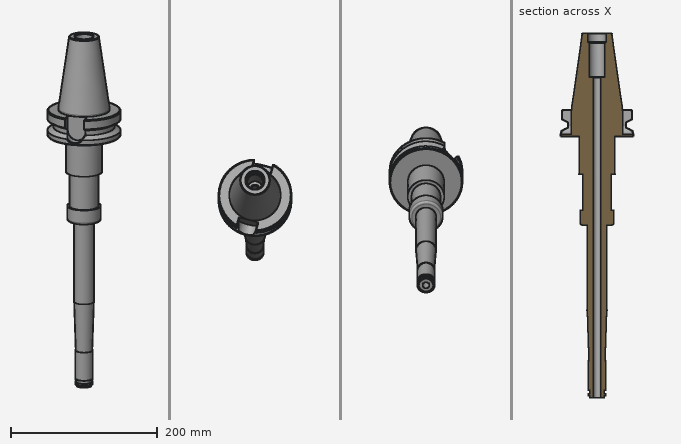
import cadquery as cq
import math

TOTAL_LENGTH = 497.5

TAPER_SMALL_DIA = 41.0
TAPER_LARGE_DIA = 70.0
TAPER_LENGTH = 102.0
TAPER_CHAMFER = 1.0
TAPER_END_Z = TOTAL_LENGTH - TAPER_LENGTH

RELIEF_HEIGHT = 2.5

FLANGE_DIA = 100.0
FLANGE_TOP_Z = TAPER_END_Z - RELIEF_HEIGHT
FLANGE_BOTTOM_Z = 356.0
FLANGE_CHAMFER = 1.5
GROOVE_DIA = 83.5
GROOVE_TOP_Z = 380.0
GROOVE_BOTTOM_Z = 364.0
GROOVE_SLOPE_HEIGHT = 4.5

SLOT_WIDTH = 26.0
SLOT_FLOOR_Y = 35.5
SLOT_BOTTOM_Z = 359.5
SLOT_CHAMFER = 1.0

BODY_DIA = 49.5
BODY_BOTTOM_Z = 305.0
NECK_DIA = 40.0
COLLAR_DIA = 46.2
COLLAR_TOP_Z = 256.0
COLLAR_BOTTOM_Z = 235.0
COLLAR_FILLET = 3.5

SHANK_DIA = 28.0
SHANK_BOTTOM_Z = 120.0
CONE_TOP_DIA = 27.5
CONE_BOTTOM_DIA = 23.0
CONE_BOTTOM_Z = 50.5
PILOT_DIA = 24.5
PILOT_BOTTOM_Z = 10.5
TIP_DIA = 21.0
TIP_END_DIA = 19.5
RING_DIA = PILOT_DIA
RING_TOP_Z = 6.0
RING_BOTTOM_Z = 3.0

BORE_MOUTH_DIA = 27.0
BORE_DIA = 25.0
BORE_DEPTH = 12.0
THREAD_DIA = 21.0
THREAD_DEPTH = 59.5
COOLANT_MOUTH_DIA = 12.0
COOLANT_DIA = 9.0


def disc(diameter, bottom_z, top_z):
    base = cq.Workplane("XY").workplane(offset=bottom_z)
    return base.circle(diameter / 2).extrude(top_z - bottom_z)


def revolved(profile):
    """Turn a closed (radius, height) outline about the Z axis."""
    return cq.Workplane("XZ").polyline(profile).close().revolve(360, (0, 0, 0), (0, 1, 0))


def cone(bottom_dia, top_dia, bottom_z, top_z):
    return revolved([(0, bottom_z), (bottom_dia / 2, bottom_z), (top_dia / 2, top_z), (0, top_z)])


def chamfer_cone(small_dia, large_dia, top_z):
    """Cone with 45 degree sides that narrows downwards from top_z."""
    return cone(small_dia, large_dia, top_z - (large_dia - small_dia) / 2, top_z)


def v_groove():
    outer = FLANGE_DIA / 2
    inner = GROOVE_DIA / 2
    profile = [
        (outer, GROOVE_TOP_Z),
        (inner, GROOVE_TOP_Z - GROOVE_SLOPE_HEIGHT),
        (inner, GROOVE_BOTTOM_Z + GROOVE_SLOPE_HEIGHT),
        (outer, GROOVE_BOTTOM_Z),
    ]
    return revolved(profile)


def drive_slot(side):
    radius = SLOT_WIDTH / 2
    arc_z = SLOT_BOTTOM_Z + radius
    outline = (
        cq.Workplane("XZ", origin=(0, side * SLOT_FLOOR_Y, 0))
        .moveTo(-radius, FLANGE_TOP_Z)
        .lineTo(-radius, arc_z)
        .threePointArc((0, SLOT_BOTTOM_Z), (radius, arc_z))
        .lineTo(radius, FLANGE_TOP_Z)
        .close()
    )
    return outline.extrude(-side * FLANGE_DIA / 2)


def slot_mouth_edges(side):
    """Select the edges where one slot opens through the rim and the top face of the flange."""
    rim_y = math.sqrt((FLANGE_DIA**2 - SLOT_WIDTH**2) / 4)
    wall_length = rim_y - SLOT_FLOOR_Y
    near_rim_y = rim_y - wall_length / 4
    near_floor_y = SLOT_FLOOR_Y + wall_length / 4
    rim = cq.selectors.BoxSelector(
        (-SLOT_WIDTH, side * near_rim_y, SLOT_BOTTOM_Z),
        (SLOT_WIDTH, side * FLANGE_DIA, FLANGE_TOP_Z),
    )
    top = cq.selectors.BoxSelector(
        (-SLOT_WIDTH, side * near_floor_y, FLANGE_TOP_Z - SLOT_CHAMFER),
        (SLOT_WIDTH, side * FLANGE_DIA, FLANGE_TOP_Z + SLOT_CHAMFER),
    )
    return rim + top


def flange():
    blank = disc(FLANGE_DIA, FLANGE_BOTTOM_Z, FLANGE_TOP_Z).faces("|Z").chamfer(FLANGE_CHAMFER)
    for side in (-1, 1):
        blank = blank.cut(drive_slot(side)).edges(slot_mouth_edges(side)).chamfer(SLOT_CHAMFER)
    return blank.cut(v_groove())


def shank():
    return (
        disc(SHANK_DIA, SHANK_BOTTOM_Z, COLLAR_BOTTOM_Z)
        .union(cone(CONE_BOTTOM_DIA, CONE_TOP_DIA, CONE_BOTTOM_Z, SHANK_BOTTOM_Z))
        .union(disc(PILOT_DIA, PILOT_BOTTOM_Z, CONE_BOTTOM_Z))
        .union(disc(TIP_DIA, RING_BOTTOM_Z, PILOT_BOTTOM_Z))
        .union(cone(TIP_END_DIA, TIP_DIA, 0, RING_BOTTOM_Z))
        .union(disc(RING_DIA, RING_BOTTOM_Z, RING_TOP_Z))
    )


solid = (
    cone(TAPER_LARGE_DIA, TAPER_SMALL_DIA, TAPER_END_Z, TOTAL_LENGTH)
    .faces(">Z")
    .chamfer(TAPER_CHAMFER)
    .union(disc(TAPER_LARGE_DIA, FLANGE_TOP_Z, TAPER_END_Z))
    .union(flange())
    .union(disc(BODY_DIA, BODY_BOTTOM_Z, FLANGE_BOTTOM_Z))
    .union(disc(NECK_DIA, COLLAR_TOP_Z, BODY_BOTTOM_Z))
    .union(disc(COLLAR_DIA, COLLAR_BOTTOM_Z, COLLAR_TOP_Z).faces("<Z").edges().fillet(COLLAR_FILLET))
    .union(shank())
)

bore_floor_z = TOTAL_LENGTH - BORE_DEPTH
thread_floor_z = TOTAL_LENGTH - THREAD_DEPTH
result = (
    solid.cut(chamfer_cone(BORE_DIA, BORE_MOUTH_DIA, TOTAL_LENGTH))
    .cut(disc(BORE_DIA, bore_floor_z, TOTAL_LENGTH))
    .cut(chamfer_cone(THREAD_DIA, BORE_DIA, bore_floor_z))
    .cut(disc(THREAD_DIA, thread_floor_z, bore_floor_z))
    .cut(chamfer_cone(COOLANT_DIA, COOLANT_MOUTH_DIA, thread_floor_z))
    .cut(disc(COOLANT_DIA, 0, thread_floor_z))
)